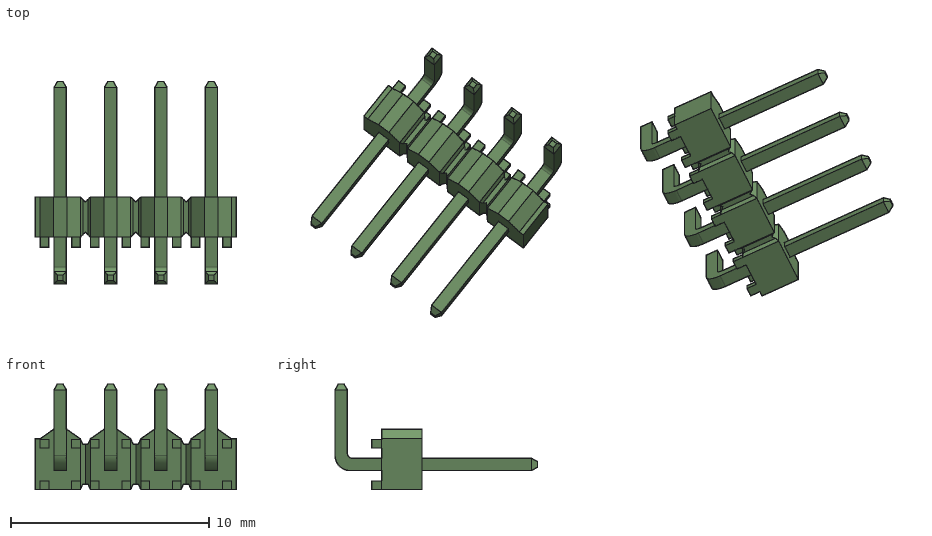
import cadquery as cq

PIN_COUNT = 4
PITCH = 2.54
ROW_LENGTH = PIN_COUNT * PITCH

HOUSING_DEPTH = 2.03
HOUSING_HEIGHT = 3.05
SHOULDER_HEIGHT = 2.57
SEGMENT_WIDTH = 2.03
RIDGE_WIDTH = 0.66
NOTCH_DEPTH = 0.27
NOTCH_TAPER = 0.12

PEG_SIZE = 0.44
PEG_LENGTH = 0.51
UPPER_PEG_TOP = 2.53

PIN_SIZE = 0.63
PIN_AXIS_HEIGHT = PITCH / 2
PIN_LENGTH = 10.22
PIN_FRONT = -2.36
PIN_BACK = PIN_FRONT + PIN_LENGTH
PIN_TOP = 5.33
INNER_BEND_RADIUS = 0.24
OUTER_BEND_RADIUS = 0.78
TIP_LENGTH = 0.31
TIP_SIZE = 0.29

GAP_WIDTH = PITCH - SEGMENT_WIDTH
ROW_START = -ROW_LENGTH / 2
PIN_CENTRES = [ROW_START + (i + 0.5) * PITCH for i in range(PIN_COUNT)]
JOINT_CENTRES = [ROW_START + i * PITCH for i in range(1, PIN_COUNT)]


def extrude_back(outline):
    """Extrude an XZ outline over the depth of the housing."""
    return outline.close().extrude(-HOUSING_DEPTH)


def make_ridge(x):
    """Flat-topped ridge with sloping sides along the top of one segment."""
    half_base = SEGMENT_WIDTH / 2
    half_top = RIDGE_WIDTH / 2
    return extrude_back(
        cq.Workplane("XZ")
        .moveTo(x - half_base, SHOULDER_HEIGHT)
        .lineTo(x - half_top, HOUSING_HEIGHT)
        .lineTo(x + half_top, HOUSING_HEIGHT)
        .lineTo(x + half_base, SHOULDER_HEIGHT)
    )


def make_flared_notch(x, edge, floor):
    """Trapezoidal cut across a joint, widest at the housing edge."""
    half_edge = GAP_WIDTH / 2
    half_floor = half_edge - NOTCH_TAPER
    return extrude_back(
        cq.Workplane("XZ")
        .moveTo(x - half_edge, edge)
        .lineTo(x - half_floor, floor)
        .lineTo(x + half_floor, floor)
        .lineTo(x + half_edge, edge)
    )


def make_v_groove(x, face, apex):
    """Vertical V groove across a joint, from a housing face to its apex."""
    return (
        cq.Workplane("XY")
        .moveTo(x - GAP_WIDTH / 2, face)
        .lineTo(x, apex)
        .lineTo(x + GAP_WIDTH / 2, face)
        .close()
        .extrude(SHOULDER_HEIGHT)
    )


def make_peg(x, z):
    """Square standoff peg on the front face, centred at x and z."""
    return cq.Workplane("XY").box(PEG_SIZE, PEG_LENGTH, PEG_SIZE).translate((x, -PEG_LENGTH / 2, z))


def make_housing():
    """Row of ridged segments joined by thin grooved webs, with four pegs per segment."""
    body = cq.Workplane("XY").box(ROW_LENGTH, HOUSING_DEPTH, SHOULDER_HEIGHT, centered=(True, False, False))
    for x in PIN_CENTRES:
        body = body.union(make_ridge(x))
    groove_depth = GAP_WIDTH / 2
    for x in JOINT_CENTRES:
        body = body.cut(make_flared_notch(x, SHOULDER_HEIGHT, SHOULDER_HEIGHT - NOTCH_DEPTH))
        body = body.cut(make_flared_notch(x, 0, NOTCH_DEPTH))
        body = body.cut(make_v_groove(x, 0, groove_depth))
        body = body.cut(make_v_groove(x, HOUSING_DEPTH, HOUSING_DEPTH - groove_depth))
    peg_offset = (SEGMENT_WIDTH - PEG_SIZE) / 2
    for x in PIN_CENTRES:
        for side in (-1, 1):
            for z in (PEG_SIZE / 2, UPPER_PEG_TOP - PEG_SIZE / 2):
                body = body.union(make_peg(x + side * peg_offset, z))
    return body


def make_pin_tip(workplane):
    """Tapered square tip rising from the workplane."""
    base = workplane.rect(PIN_SIZE, PIN_SIZE)
    return base.workplane(offset=TIP_LENGTH).rect(TIP_SIZE, TIP_SIZE).loft(ruled=True)


def make_pin(x):
    """Pin bent upward in front of the housing, with a tapered tip at each end."""
    low = PIN_AXIS_HEIGHT - PIN_SIZE / 2
    high = low + PIN_SIZE
    inner = PIN_FRONT + PIN_SIZE
    shaft_end = PIN_BACK - TIP_LENGTH
    leg_end = PIN_TOP - TIP_LENGTH
    shank = (
        cq.Workplane("YZ", origin=(x - PIN_SIZE / 2, 0, 0))
        .moveTo(shaft_end, low)
        .lineTo(PIN_FRONT + OUTER_BEND_RADIUS, low)
        .radiusArc((PIN_FRONT, low + OUTER_BEND_RADIUS), OUTER_BEND_RADIUS)
        .lineTo(PIN_FRONT, leg_end)
        .lineTo(inner, leg_end)
        .lineTo(inner, high + INNER_BEND_RADIUS)
        .radiusArc((inner + INNER_BEND_RADIUS, high), -INNER_BEND_RADIUS)
        .lineTo(shaft_end, high)
        .close()
        .extrude(PIN_SIZE)
    )
    leg_tip = make_pin_tip(cq.Workplane("XY", origin=(x, PIN_FRONT + PIN_SIZE / 2, leg_end)))
    shaft_tip = make_pin_tip(cq.Workplane("ZX", origin=(x, shaft_end, PIN_AXIS_HEIGHT)))
    return shank.union(leg_tip).union(shaft_tip)


end_pins = [make_pin(x) for x in (PIN_CENTRES[0], PIN_CENTRES[-1])]
housing = make_housing()
for x in PIN_CENTRES[1:-1]:
    housing = housing.union(make_pin(x))
for pin in end_pins:
    housing = housing.cut(pin)

result = cq.Compound.makeCompound([housing.val(), *[pin.val() for pin in end_pins]])